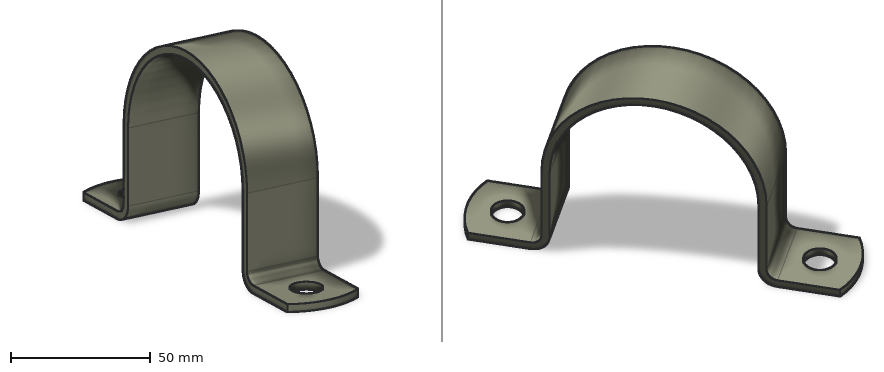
import cadquery as cq

length = 145.0
width = 30.0
height = 78.5
thickness = 3.0
saddle_inner_radius = 38.4
bend_inner_radius = 4.0
hole_diameter = 12.0
hole_spacing = 115.0
end_radius = width

half_length = length / 2
saddle_outer_radius = saddle_inner_radius + thickness
saddle_center_z = height - saddle_outer_radius
bend_outer_radius = bend_inner_radius + thickness
bend_center_x = saddle_outer_radius + bend_inner_radius
bend_center_z = bend_outer_radius


def strap():
    """Bent strip: two feet, two legs and a half-round saddle, centred on Y."""
    return (
        cq.Workplane("XZ")
        .moveTo(-half_length, thickness)
        .lineTo(-bend_center_x, thickness)
        .radiusArc((-saddle_outer_radius, bend_center_z), -bend_inner_radius)
        .lineTo(-saddle_outer_radius, saddle_center_z)
        .threePointArc((0, height), (saddle_outer_radius, saddle_center_z))
        .lineTo(saddle_outer_radius, bend_center_z)
        .radiusArc((bend_center_x, thickness), -bend_inner_radius)
        .lineTo(half_length, thickness)
        .lineTo(half_length, 0)
        .lineTo(bend_center_x, 0)
        .radiusArc((saddle_inner_radius, bend_center_z), bend_outer_radius)
        .lineTo(saddle_inner_radius, saddle_center_z)
        .threePointArc((0, height - thickness), (-saddle_inner_radius, saddle_center_z))
        .lineTo(-saddle_inner_radius, bend_center_z)
        .radiusArc((-bend_center_x, 0), bend_outer_radius)
        .lineTo(-half_length, 0)
        .close()
        .extrude(width / 2, both=True)
    )


def rounded_end_envelope():
    """Block whose two X ends are shallow arcs, used to trim the feet."""
    half_width = width / 2
    end_sagitta = end_radius - (end_radius**2 - half_width**2) ** 0.5
    corner_x = half_length - end_sagitta
    return (
        cq.Workplane("XY")
        .moveTo(-corner_x, -half_width)
        .lineTo(corner_x, -half_width)
        .threePointArc((half_length, 0), (corner_x, half_width))
        .lineTo(-corner_x, half_width)
        .threePointArc((-half_length, 0), (-corner_x, -half_width))
        .close()
        .extrude(height)
    )


def foot_holes():
    """Cutters for the mounting hole through each foot."""
    return (
        cq.Workplane("XY")
        .pushPoints([(-hole_spacing / 2, 0), (hole_spacing / 2, 0)])
        .circle(hole_diameter / 2)
        .extrude(thickness)
    )


result = strap().intersect(rounded_end_envelope()).cut(foot_holes())